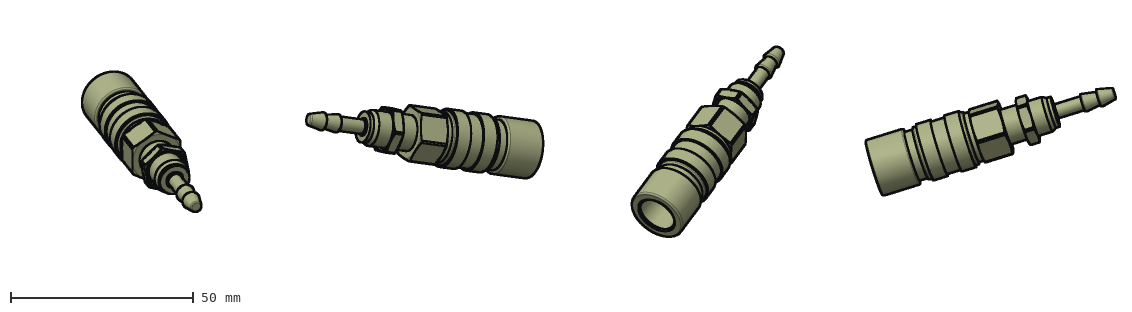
import cadquery as cq
import math

TOTAL_LENGTH = 69.0

SLEEVE_DIAMETER = 16.0
SLEEVE_END = 10.9
SLEEVE_ROUND = 0.5

BORE_DIAMETER = 10.55
BORE_MOUTH_DIAMETER = 11.45
BORE_DEPTH = SLEEVE_END

NECK_DIAMETER = 14.0
COLLAR_DIAMETER = 15.1
COLLAR_START = 13.25
COLLAR_END = 27.95
COLLAR_FRONT_ROUND = (COLLAR_DIAMETER - NECK_DIAMETER) / 2
COLLAR_REAR_ROUND = 0.4
LAND_DIAMETER = 16.15
LAND_WIDTH = 4.15
LAND_STARTS = (14.55, 22.7)

BODY_HEX_FLATS = NECK_DIAMETER
BODY_HEX_CORNERS = 15.8
BODY_HEX_START = 29.4
BODY_HEX_END = 37.8
BODY_HEX_TURN = 0.0
BODY_HEX_CHAMFER = 0.3

SHANK_DIAMETER = 10.0
SHANK_TIP_DIAMETER = 8.6
SHANK_TAPER_START = 49.7
SHANK_TIP_START = 50.9
SHANK_END = 52.0

NUT_FLATS = 12.0
NUT_CORNERS = 13.5
NUT_START = 42.6
NUT_END = 45.75
NUT_TURN = 10.5
NUT_CHAMFER = 0.3
NUT_COUNTERSINK_DIAMETER = 11.45
NUT_COUNTERSINK_DEPTH = (NUT_COUNTERSINK_DIAMETER - SHANK_DIAMETER) / 2

TUBE_DIAMETER = 4.1
TUBE_ROOT_DIAMETER = 4.9
BARB_DIAMETER = 5.25
BARB_ROUND = 0.4
FIRST_BARB_START = 59.8
SECOND_BARB_START = 64.4
FIRST_BARB_END_DIAMETER = 3.8
TAIL_END_DIAMETER = 3.2
TAIL_END_ROUND = 0.4


def cylinder(start, end, diameter):
    """Cylinder along X between two positions."""
    return cq.Workplane("YZ", origin=(start, 0, 0)).circle(diameter / 2).extrude(end - start)


def cone(start, end, start_diameter, end_diameter):
    """Truncated cone along X between two positions."""
    solid = cq.Solid.makeCone(
        start_diameter / 2,
        end_diameter / 2,
        end - start,
        pnt=cq.Vector(start, 0, 0),
        dir=cq.Vector(1, 0, 0),
    )
    return cq.Workplane(obj=solid)


def hexagon(start, end, flats, corners, chamfer, turn):
    """Hexagon along X, its corners trimmed to a diameter and its ends chamfered down to the flats."""
    prism = (
        cq.Workplane("YZ", origin=(start, 0, 0))
        .transformed(rotate=(0, 0, 90 + turn))
        .polygon(6, flats / math.cos(math.pi / 6))
        .extrude(end - start)
    )
    end_inset = (corners - flats) / 2
    envelope = cylinder(start, end, corners).edges().chamfer(chamfer, end_inset)
    return prism.intersect(envelope)


def sleeve():
    return cylinder(0, SLEEVE_END, SLEEVE_DIAMETER).edges().fillet(SLEEVE_ROUND)


def grip():
    neck = cylinder(SLEEVE_END - SLEEVE_ROUND, BODY_HEX_START, NECK_DIAMETER)
    collar = cylinder(COLLAR_START, COLLAR_END, COLLAR_DIAMETER)
    collar = collar.edges("<X").fillet(COLLAR_FRONT_ROUND)
    collar = collar.edges(">X").fillet(COLLAR_REAR_ROUND)
    ring = neck.union(collar)
    for start in LAND_STARTS:
        ring = ring.union(cylinder(start, start + LAND_WIDTH, LAND_DIAMETER))
    return ring


def shank():
    thread = cylinder(BODY_HEX_END, SHANK_TAPER_START, SHANK_DIAMETER)
    taper = cone(SHANK_TAPER_START, SHANK_TIP_START, SHANK_DIAMETER, SHANK_TIP_DIAMETER)
    tip = cylinder(SHANK_TIP_START, SHANK_END, SHANK_TIP_DIAMETER)
    return thread.union(taper).union(tip)


def lock_nut():
    """Hexagon nut with its threaded hole countersunk at both faces."""
    nut = hexagon(NUT_START, NUT_END, NUT_FLATS, NUT_CORNERS, NUT_CHAMFER, NUT_TURN)
    front_floor = NUT_START + NUT_COUNTERSINK_DEPTH
    rear_floor = NUT_END - NUT_COUNTERSINK_DEPTH
    nut = nut.cut(cylinder(NUT_START, NUT_END, SHANK_DIAMETER))
    nut = nut.cut(cone(NUT_START, front_floor, NUT_COUNTERSINK_DIAMETER, SHANK_DIAMETER))
    return nut.cut(cone(rear_floor, NUT_END, SHANK_DIAMETER, NUT_COUNTERSINK_DIAMETER))


def barb(start, end, end_diameter):
    """Barb with a rounded shoulder, tapering towards the free end."""
    return cone(start, end, BARB_DIAMETER, end_diameter).edges("<X").fillet(BARB_ROUND)


def hose_tail():
    root_length = (TUBE_ROOT_DIAMETER - TUBE_DIAMETER) / 2
    root = cone(SHANK_END, SHANK_END + root_length, TUBE_ROOT_DIAMETER, TUBE_DIAMETER)
    tube = cylinder(SHANK_END, FIRST_BARB_START, TUBE_DIAMETER)
    first = barb(FIRST_BARB_START, SECOND_BARB_START, FIRST_BARB_END_DIAMETER)
    second = barb(SECOND_BARB_START, TOTAL_LENGTH, TAIL_END_DIAMETER)
    second = second.edges(">X").fillet(TAIL_END_ROUND)
    return root.union(tube).union(first).union(second)


def socket_bore():
    mouth_depth = (BORE_MOUTH_DIAMETER - BORE_DIAMETER) / 2
    mouth = cone(0, mouth_depth, BORE_MOUTH_DIAMETER, BORE_DIAMETER)
    return cylinder(0, BORE_DEPTH, BORE_DIAMETER).union(mouth)


body_hex = hexagon(
    BODY_HEX_START, BODY_HEX_END, BODY_HEX_FLATS, BODY_HEX_CORNERS, BODY_HEX_CHAMFER, BODY_HEX_TURN
)

result = (
    sleeve()
    .union(grip())
    .union(body_hex)
    .union(shank())
    .union(lock_nut())
    .union(hose_tail())
    .cut(socket_bore())
)